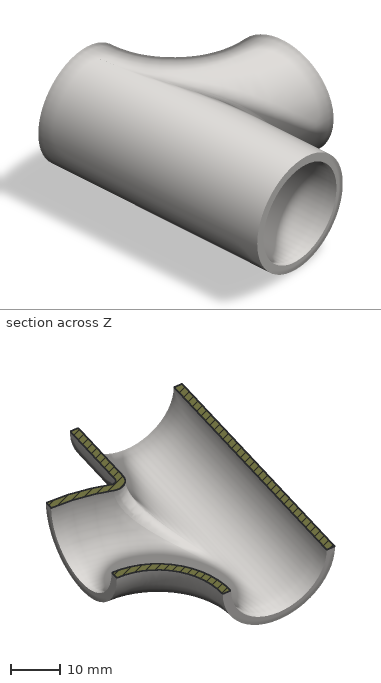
import cadquery as cq

outer_diameter = 26.9
inner_diameter = 22.9
run_length = 58.0
bend_radius = 29.0
outer_blend_radius = 1.0

wall_thickness = (outer_diameter - inner_diameter) / 2
inner_blend_radius = outer_blend_radius + wall_thickness

unblended_length = 0.5


def straight_run(diameter):
    """Round bar along +X from the inlet face, with its seam line on the -Y side."""
    inlet_plane = cq.Plane(origin=(0, 0, 0), xDir=(0, -1, 0), normal=(1, 0, 0))
    return cq.Workplane(inlet_plane).circle(diameter / 2).extrude(run_length)


def swept_branch(diameter):
    """Quarter bend that leaves the inlet face along +X and turns to +Y."""
    axis_start = (bend_radius, 0)
    axis_end = (bend_radius, 1)
    return cq.Workplane("YZ").circle(diameter / 2).revolve(90, axis_start, axis_end)


def blend_filler(tee, diameter, blend_radius):
    """Sliver of material between a sharp tee and its filleted meeting edge."""
    box_side = 2 * diameter
    inlet_box = cq.Workplane("YZ").rect(box_side, box_side).extrude(unblended_length)
    sharp_body = tee.cut(inlet_box)
    meeting_edge = sharp_body.edges("%BSPLINE").edges(">X")
    return meeting_edge.fillet(blend_radius).cut(sharp_body)


def blended_tee(diameter, blend_radius):
    """Solid tee: run and branch joined, with their meeting edge blended."""
    tee = straight_run(diameter).union(swept_branch(diameter))
    return tee.union(blend_filler(tee, diameter, blend_radius))


outer_body = blended_tee(outer_diameter, outer_blend_radius)
bore = blended_tee(inner_diameter, inner_blend_radius)
result = outer_body.cut(bore)